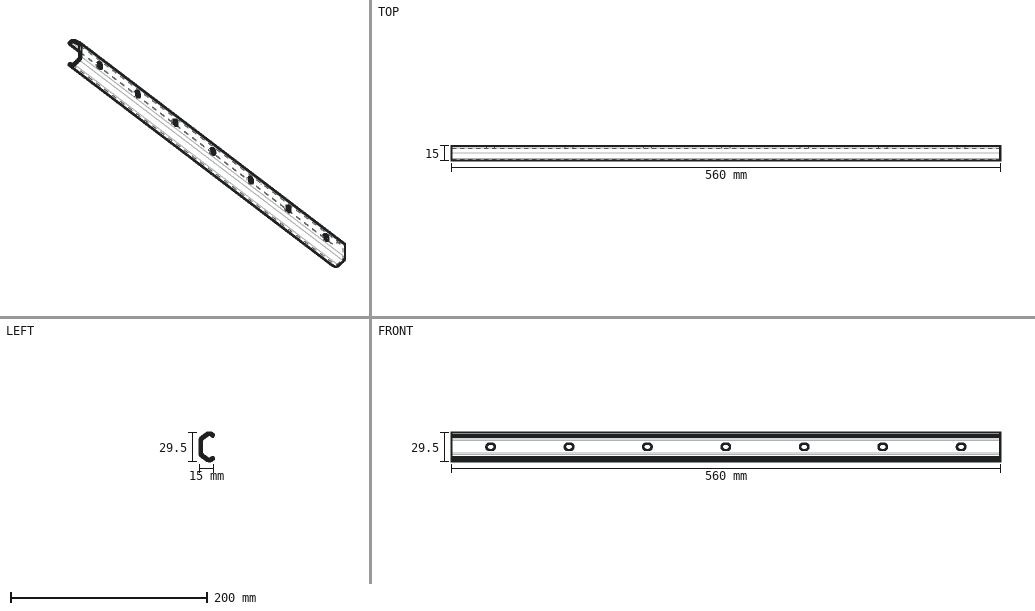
import cadquery as cq
import math

length = 560.0
depth = 15.0
height = 29.5

wall = 2.5
slope = math.radians(35)
bend_inner_radius = 2.0
crown_inner_radius = 2.05
crown_y = -2.5

bend_outer_radius = bend_inner_radius + wall
crown_outer_radius = crown_inner_radius + wall

slot_count = 7
slot_pitch = length / slot_count
slot_length = 8.4
slot_height = 6.2


def arc_point(centre, radius, angle):
    """Point on an arc; the angle is measured from +Z towards +Y."""
    return (
        centre[0] + radius * math.sin(angle),
        centre[1] + radius * math.cos(angle),
    )


def half_section():
    """Upper half of the section as (Y, Z) points from the web's middle to the lip and back."""
    back = depth / 2
    web_angle = math.pi / 2
    bend_middle = (web_angle + slope) / 2

    crown = (crown_y, height / 2 - crown_outer_radius)
    outer_crown_start = arc_point(crown, crown_outer_radius, slope)
    outer_crown_end = arc_point(crown, crown_outer_radius, -slope)

    bend_y = back - bend_outer_radius
    rise_from_radii = (crown_outer_radius - bend_outer_radius) / math.cos(slope)
    bend_z = crown[1] + rise_from_radii - (bend_y - crown_y) * math.tan(slope)
    bend = (bend_y, bend_z)

    lip_length = (outer_crown_end[0] + back) / math.cos(slope)
    outer_lip = (-back, outer_crown_end[1] - lip_length * math.sin(slope))
    inner_lip = (
        outer_lip[0] + wall * math.sin(slope),
        outer_lip[1] - wall * math.cos(slope),
    )

    return (
        cq.Workplane("YZ", origin=(-length / 2, 0, 0))
        .moveTo(back, 0)
        .lineTo(back, bend_z)
        .threePointArc(
            arc_point(bend, bend_outer_radius, bend_middle),
            arc_point(bend, bend_outer_radius, slope),
        )
        .lineTo(*outer_crown_start)
        .threePointArc(arc_point(crown, crown_outer_radius, 0), outer_crown_end)
        .lineTo(*outer_lip)
        .lineTo(*inner_lip)
        .lineTo(*arc_point(crown, crown_inner_radius, -slope))
        .threePointArc(
            arc_point(crown, crown_inner_radius, 0),
            arc_point(crown, crown_inner_radius, slope),
        )
        .lineTo(*arc_point(bend, bend_inner_radius, slope))
        .threePointArc(
            arc_point(bend, bend_inner_radius, bend_middle),
            (back - wall, bend_z),
        )
        .lineTo(back - wall, 0)
        .close()
    )


def make_rail():
    upper_half = half_section().extrude(length)
    return upper_half.union(upper_half.mirror("XY")).clean()


def cut_slots(rail):
    """Cut the slots through the web, each in the middle of its pitch."""
    for number in range(slot_count):
        x = -length / 2 + slot_pitch * (number + 0.5)
        web_back = cq.Workplane("XZ", origin=(x, depth / 2, 0))
        slot = web_back.slot2D(slot_length, slot_height)
        rail = rail.cut(slot.extrude(wall))
    return rail


result = cut_slots(make_rail())